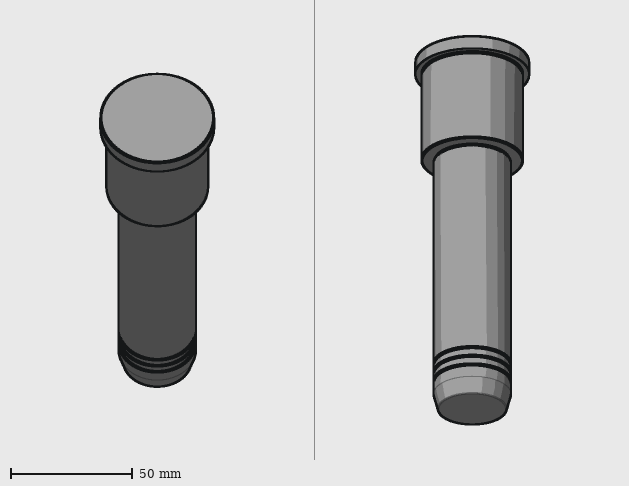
import cadquery as cq
import math

TOTAL_LENGTH = 161.0
HEAD_THICKNESS = 6.0
COLLAR_LENGTH = 40.0
TIP_LENGTH = 7.0
TIP_HALF_ANGLE = 15.0

HEAD_RADIUS = 47.0 / 2
COLLAR_RADIUS = 42.0 / 2
SHANK_RADIUS = 32.0 / 2
TIP_END_RADIUS = SHANK_RADIUS - TIP_LENGTH * math.tan(math.radians(TIP_HALF_ANGLE))

HEAD_CHAMFER = 0.5
COLLAR_CHAMFER = 0.5
TIP_FILLET = 0.5
RELIEF_WIDTH = 1.0
RELIEF_DEPTH = 0.5

GROOVE_COUNT = 3
GROOVE_PITCH = 4.0
GROOVE_WIDTH = 1.0
GROOVE_DEPTH = 0.45
LOWEST_GROOVE_Z = 12.0

HEAD_UNDERSIDE_Z = TOTAL_LENGTH - HEAD_THICKNESS
COLLAR_BOTTOM_Z = HEAD_UNDERSIDE_Z - COLLAR_LENGTH


def cylinder(radius, bottom_z, top_z):
    """Solid cylinder on the Z axis between two levels."""
    return cq.Workplane("XY").workplane(offset=bottom_z).circle(radius).extrude(top_z - bottom_z)


def square_groove(outer_radius, depth, bottom_z, width):
    """Square ring that cuts a groove of the given depth into a cylinder."""
    return (
        cq.Workplane("XY")
        .workplane(offset=bottom_z)
        .circle(outer_radius + depth)
        .circle(outer_radius - depth)
        .extrude(width)
    )


def v_groove(outer_radius, depth, bottom_z, width):
    """Ring of triangular section that cuts a V groove into a cylinder."""
    return (
        cq.Workplane("XZ")
        .moveTo(outer_radius, bottom_z)
        .lineTo(outer_radius - depth, bottom_z + width / 2)
        .lineTo(outer_radius, bottom_z + width)
        .close()
        .revolve(360, (0, 0, 0), (0, 1, 0))
    )


def make_head():
    head = cylinder(HEAD_RADIUS, HEAD_UNDERSIDE_Z, TOTAL_LENGTH)
    return head.faces(">Z").edges().chamfer(HEAD_CHAMFER)


def make_collar():
    """Locating collar with a V relief groove directly under the head."""
    collar = cylinder(COLLAR_RADIUS, COLLAR_BOTTOM_Z, HEAD_UNDERSIDE_Z)
    collar = collar.faces("<Z").edges().chamfer(COLLAR_CHAMFER)
    relief_z = HEAD_UNDERSIDE_Z - RELIEF_WIDTH
    return collar.cut(v_groove(COLLAR_RADIUS, RELIEF_DEPTH, relief_z, RELIEF_WIDTH))


def make_shank():
    """Guide shank with a square relief groove under the collar and V lubrication grooves."""
    shank = cylinder(SHANK_RADIUS, TIP_LENGTH, COLLAR_BOTTOM_Z)
    relief_z = COLLAR_BOTTOM_Z - RELIEF_WIDTH
    shank = shank.cut(square_groove(SHANK_RADIUS, RELIEF_DEPTH, relief_z, RELIEF_WIDTH))
    for index in range(GROOVE_COUNT):
        groove_z = LOWEST_GROOVE_Z + index * GROOVE_PITCH
        shank = shank.cut(v_groove(SHANK_RADIUS, GROOVE_DEPTH, groove_z, GROOVE_WIDTH))
    return shank


def make_tip():
    """Lead-in tip: a straight taper with a rounded lower edge."""
    tip = (
        cq.Workplane("XZ")
        .lineTo(TIP_END_RADIUS, 0)
        .lineTo(SHANK_RADIUS, TIP_LENGTH)
        .lineTo(0, TIP_LENGTH)
        .close()
        .revolve(360, (0, 0, 0), (0, 1, 0))
    )
    return tip.faces("<Z").edges().fillet(TIP_FILLET)


result = make_head().union(make_collar()).union(make_shank()).union(make_tip())